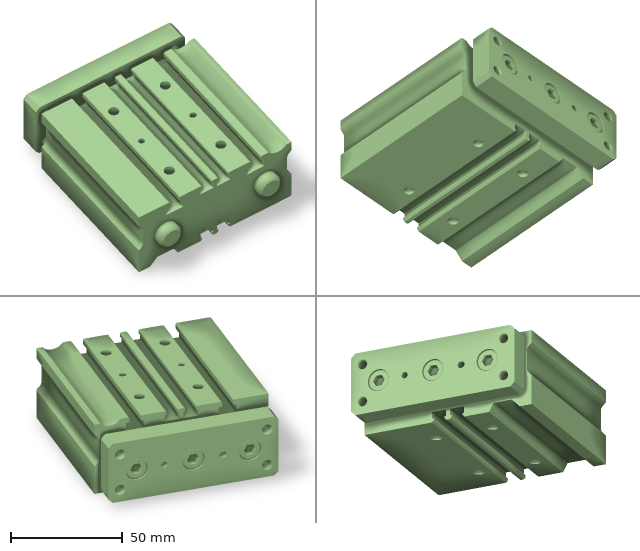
import cadquery as cq
import math

PLATE_THICKNESS = 10.0
HOUSING_START = 16.0
HOUSING_END = 93.0
OVERALL_LENGTH = 98.0

HOUSING_WIDTH = 83.0
HOUSING_HEIGHT = 36.0
HALF_WIDTH = HOUSING_WIDTH / 2
HALF_HEIGHT = HOUSING_HEIGHT / 2

OUTER_SLOT_Y = 22.0
OUTER_SLOT_OPENING = 5.5
OUTER_SLOT_INNER_WIDTH = 8.8
OUTER_SLOT_LIP = 2.7
OUTER_SLOT_DEPTH = 7.5
OUTER_SLOT_EDGE_CHAMFER = 0.4

INNER_SLOT_Y = 4.45
INNER_SLOT_OPENING = 5.4
INNER_SLOT_INNER_WIDTH = 7.0
INNER_SLOT_LIP = 1.9
INNER_SLOT_DEPTH = 5.0
INNER_SLOT_TOP_CHAMFER = 0.4
INNER_SLOT_BOTTOM_CHAMFER = 0.9

GROOVE_TURN = 45.0

GROOVE_RADIUS = 5.5
GROOVE_FLOOR_Z = 15.35
GROOVE_FLOOR_OUTER_Y = 34.4
GROOVE_FLOOR_INNER_Y = 33.75
LEDGE_Z = 17.25

UNDER_GROOVE_INNER_Y = -20.3
UNDER_GROOVE_OUTER_Y = -35.5
UNDER_GROOVE_DEPTH = 4.0
UNDER_GROOVE_INNER_ANGLE = 60.0
UNDER_GROOVE_OUTER_ANGLE = 45.0

SIDE_GROOVE_TOP_Z = 12.05
SIDE_GROOVE_BOTTOM_Z = -3.9
SIDE_GROOVE_TOP_CHAMFER = 2.0
SIDE_GROOVE_BOTTOM_CHAMFER = 1.5
SIDE_GROOVE_RADIUS = 3.2

MOUNT_Y = 14.0
MOUNT_X_POSITIONS = (33.0, 77.0)
MOUNT_DIAMETER = 5.0
DOWEL_X = 55.0
DOWEL_DIAMETER = 3.0
DOWEL_DEPTH = 6.0
DOWEL_SLOT_LENGTH = 3.5

PLATE_WIDTH = 81.0
PLATE_HEIGHT = 30.0
PLATE_CHAMFER = 2.0
CORNER_HOLE_Y = 35.0
CORNER_HOLE_Z = 9.0
CORNER_HOLE_DIAMETER = 4.2
CORNER_HOLE_CHAMFER = 0.4

GUIDE_ROD_Y = 27.0
GUIDE_ROD_DIAMETER = 12.0
GUIDE_TIP_LENGTHS = (1.9, 0.8)
GUIDE_TIP_DROPS = (0.6, 0.8)
PISTON_ROD_DIAMETER = 10.0
PISTON_ROD_END = 60.0
HEAD_DIAMETER = 10.5
HEAD_CHAMFER = 0.5
HEAD_RECESS = 0.5
HEAD_HEIGHT = 6.0
HEAD_SEAT_X = HEAD_RECESS + HEAD_HEIGHT
NECK_DIAMETER = 6.0
HEX_ACROSS_FLATS = 5.0
HEX_DEPTH = 3.0

COLLAR_DIAMETER = 21.0
COLLAR_LENGTH = 8.0


def along_x(start, end, radius, y):
    """Cylinder parallel to X at height zero."""
    return cq.Workplane("YZ", origin=(start, y, 0)).circle(radius).extrude(end - start)


def prism(profile, start, end):
    """Closed (Y, Z) polyline swept along X."""
    return cq.Workplane("YZ", origin=(start, 0, 0)).polyline(profile).close().extrude(end - start)


def housing_prism(profile):
    return prism(profile, HOUSING_START, HOUSING_END)


def t_slot(y, side, opening, inner_width, lip, depth, chamfer):
    """Cutter for a T-slot in the top (side = 1) or the underside (side = -1)."""
    right_half = [
        (opening / 2 + chamfer, 0),
        (opening / 2, chamfer),
        (opening / 2, lip),
        (inner_width / 2, lip),
        (inner_width / 2, depth),
    ]
    left_half = [(-across, down) for across, down in reversed(right_half)]
    outline = [(y + across, side * (HALF_HEIGHT - down)) for across, down in right_half + left_half]
    return housing_prism(outline)


def top_groove():
    """Cutter for the ledge and the round-bottomed groove beside it."""
    turn = math.radians(GROOVE_TURN)
    mid_run = GROOVE_RADIUS * math.sin(turn / 2)
    mid_z = GROOVE_FLOOR_Z + GROOVE_RADIUS * (1 - math.cos(turn / 2))
    slope_run = GROOVE_RADIUS * math.sin(turn)
    slope_z = GROOVE_FLOOR_Z + GROOVE_RADIUS * (1 - math.cos(turn))
    outer_edge_y = GROOVE_FLOOR_OUTER_Y + slope_run + (LEDGE_Z - slope_z)
    inner_edge_y = GROOVE_FLOOR_INNER_Y - slope_run - (HALF_HEIGHT - slope_z)
    return (
        cq.Workplane("YZ", origin=(HOUSING_START, 0, 0))
        .moveTo(HALF_WIDTH, HALF_HEIGHT)
        .lineTo(HALF_WIDTH, LEDGE_Z)
        .lineTo(outer_edge_y, LEDGE_Z)
        .lineTo(GROOVE_FLOOR_OUTER_Y + slope_run, slope_z)
        .threePointArc((GROOVE_FLOOR_OUTER_Y + mid_run, mid_z), (GROOVE_FLOOR_OUTER_Y, GROOVE_FLOOR_Z))
        .lineTo(GROOVE_FLOOR_INNER_Y, GROOVE_FLOOR_Z)
        .threePointArc((GROOVE_FLOOR_INNER_Y - mid_run, mid_z), (GROOVE_FLOOR_INNER_Y - slope_run, slope_z))
        .lineTo(inner_edge_y, HALF_HEIGHT)
        .close()
        .extrude(HOUSING_END - HOUSING_START)
    )


def under_groove():
    """Cutter for the groove with sloped walls in the underside."""
    inner_run = UNDER_GROOVE_DEPTH / math.tan(math.radians(UNDER_GROOVE_INNER_ANGLE))
    outer_run = UNDER_GROOVE_DEPTH / math.tan(math.radians(UNDER_GROOVE_OUTER_ANGLE))
    floor_z = UNDER_GROOVE_DEPTH - HALF_HEIGHT
    return housing_prism([
        (UNDER_GROOVE_INNER_Y, -HALF_HEIGHT),
        (UNDER_GROOVE_INNER_Y - inner_run, floor_z),
        (UNDER_GROOVE_OUTER_Y + outer_run, floor_z),
        (UNDER_GROOVE_OUTER_Y, -HALF_HEIGHT),
    ])


def side_groove():
    """Cutter for the groove in the +Y side: chamfered mouth, rounded into a flat floor."""
    turn = math.radians(GROOVE_TURN)
    radius = SIDE_GROOVE_RADIUS
    lower_y = HALF_WIDTH - SIDE_GROOVE_BOTTOM_CHAMFER
    lower_z = SIDE_GROOVE_BOTTOM_Z + SIDE_GROOVE_BOTTOM_CHAMFER
    floor_y = lower_y - radius * (1 - math.cos(turn))
    floor_start_z = lower_z + radius * math.sin(turn)
    lower_mid = (
        floor_y + radius * (1 - math.cos(turn / 2)),
        floor_start_z - radius * math.sin(turn / 2),
    )
    upper_y = HALF_WIDTH - SIDE_GROOVE_TOP_CHAMFER
    upper_z = SIDE_GROOVE_TOP_Z - SIDE_GROOVE_TOP_CHAMFER
    upper_turn = math.acos(1 - (upper_y - floor_y) / radius)
    floor_end_z = upper_z - radius * math.sin(upper_turn)
    upper_mid = (
        floor_y + radius * (1 - math.cos(upper_turn / 2)),
        floor_end_z + radius * math.sin(upper_turn / 2),
    )
    return (
        cq.Workplane("YZ", origin=(HOUSING_START, 0, 0))
        .moveTo(HALF_WIDTH, SIDE_GROOVE_BOTTOM_Z)
        .lineTo(lower_y, lower_z)
        .threePointArc(lower_mid, (floor_y, floor_start_z))
        .lineTo(floor_y, floor_end_z)
        .threePointArc(upper_mid, (upper_y, upper_z))
        .lineTo(HALF_WIDTH, SIDE_GROOVE_TOP_Z)
        .close()
        .extrude(HOUSING_END - HOUSING_START)
    )


def make_housing():
    body = cq.Workplane("XY").box(
        HOUSING_END - HOUSING_START, HOUSING_WIDTH, HOUSING_HEIGHT, centered=(False, True, True)
    ).translate((HOUSING_START, 0, 0))
    body = body.cut(top_groove()).cut(under_groove())
    body = body.cut(side_groove()).cut(side_groove().mirror("XZ"))
    for hand in (-1, 1):
        body = body.cut(t_slot(
            hand * OUTER_SLOT_Y, 1, OUTER_SLOT_OPENING, OUTER_SLOT_INNER_WIDTH,
            OUTER_SLOT_LIP, OUTER_SLOT_DEPTH, OUTER_SLOT_EDGE_CHAMFER,
        ))
        for side, chamfer in ((1, INNER_SLOT_TOP_CHAMFER), (-1, INNER_SLOT_BOTTOM_CHAMFER)):
            body = body.cut(t_slot(
                hand * INNER_SLOT_Y, side, INNER_SLOT_OPENING, INNER_SLOT_INNER_WIDTH,
                INNER_SLOT_LIP, INNER_SLOT_DEPTH, chamfer,
            ))

    top = cq.Workplane("XY", origin=(0, 0, HALF_HEIGHT))
    mounts = [(x, y) for x in MOUNT_X_POSITIONS for y in (-MOUNT_Y, MOUNT_Y)]
    body = body.cut(top.pushPoints(mounts).circle(MOUNT_DIAMETER / 2).extrude(-HOUSING_HEIGHT))
    body = body.cut(top.center(DOWEL_X, -MOUNT_Y).circle(DOWEL_DIAMETER / 2).extrude(-DOWEL_DEPTH))
    body = body.cut(
        top.center(DOWEL_X, MOUNT_Y).slot2D(DOWEL_SLOT_LENGTH, DOWEL_DIAMETER, 90).extrude(-DOWEL_DEPTH)
    )

    for y in (-GUIDE_ROD_Y, GUIDE_ROD_Y):
        body = body.cut(along_x(HOUSING_START, HOUSING_END, GUIDE_ROD_DIAMETER / 2, y))
    body = body.cut(along_x(HOUSING_START, PISTON_ROD_END, PISTON_ROD_DIAMETER / 2, 0))
    return body.cut(along_x(HOUSING_START, HOUSING_START + COLLAR_LENGTH, COLLAR_DIAMETER / 2, 0))


def make_plate():
    plate = (
        cq.Workplane("YZ").rect(PLATE_WIDTH, PLATE_HEIGHT).extrude(PLATE_THICKNESS)
        .edges("|X").chamfer(PLATE_CHAMFER)
    )
    for y in (-GUIDE_ROD_Y, 0, GUIDE_ROD_Y):
        plate = plate.cut(along_x(0, HEAD_SEAT_X, HEAD_DIAMETER / 2, y))
        plate = plate.cut(along_x(0, PLATE_THICKNESS, NECK_DIAMETER / 2, y))

    corner_centres = [
        (y, z) for y in (-CORNER_HOLE_Y, CORNER_HOLE_Y) for z in (-CORNER_HOLE_Z, CORNER_HOLE_Z)
    ]
    radius = CORNER_HOLE_DIAMETER / 2
    for y, z in corner_centres:
        hole = cq.Workplane("YZ", origin=(0, y, z)).circle(radius).extrude(PLATE_THICKNESS)
        countersink = (
            cq.Workplane("YZ", origin=(0, y, z)).circle(radius + CORNER_HOLE_CHAMFER)
            .extrude(CORNER_HOLE_CHAMFER, taper=45)
        )
        plate = plate.cut(hole).cut(countersink)

    front = cq.Workplane("YZ")
    plate = plate.cut(front.center(MOUNT_Y, 0).circle(DOWEL_DIAMETER / 2).extrude(DOWEL_DEPTH))
    return plate.cut(
        front.center(-MOUNT_Y, 0).slot2D(DOWEL_SLOT_LENGTH, DOWEL_DIAMETER).extrude(DOWEL_DEPTH)
    )


def make_fixing(y):
    """Socket head and neck that clamp the plate to the end of a rod."""
    head = along_x(HEAD_RECESS, HEAD_SEAT_X, HEAD_DIAMETER / 2, y)
    head = head.faces("<X").edges().chamfer(HEAD_CHAMFER)
    neck = along_x(HEAD_SEAT_X, PLATE_THICKNESS, NECK_DIAMETER / 2, y)
    hex_corner_diameter = HEX_ACROSS_FLATS / math.cos(math.pi / 6)
    socket = (
        cq.Workplane("YZ", origin=(HEAD_RECESS, y, 0))
        .polygon(6, hex_corner_diameter).extrude(HEX_DEPTH)
    )
    return head.cut(socket).union(neck)


def make_guide_rod(y):
    """Guide rod with a two-step tapered tip."""
    radius = GUIDE_ROD_DIAMETER / 2
    long_taper, short_taper = GUIDE_TIP_LENGTHS
    first_drop, second_drop = GUIDE_TIP_DROPS
    half_section = [
        (PLATE_THICKNESS, 0),
        (PLATE_THICKNESS, radius),
        (OVERALL_LENGTH - long_taper, radius),
        (OVERALL_LENGTH - short_taper, radius - first_drop),
        (OVERALL_LENGTH, radius - first_drop - second_drop),
        (OVERALL_LENGTH, 0),
    ]
    rod = cq.Workplane("XZ").polyline(half_section).close().revolve(360, (0, 0, 0), (1, 0, 0))
    return rod.translate((0, y, 0)).union(make_fixing(y))


def make_piston_rod():
    rod = along_x(PLATE_THICKNESS, PISTON_ROD_END, PISTON_ROD_DIAMETER / 2, 0)
    return rod.union(make_fixing(0))


def make_collar():
    collar = along_x(HOUSING_START, HOUSING_START + COLLAR_LENGTH, COLLAR_DIAMETER / 2, 0)
    return collar.cut(along_x(HOUSING_START, PISTON_ROD_END, PISTON_ROD_DIAMETER / 2, 0))


housing = make_housing()
plate = make_plate()
guide_rods = [make_guide_rod(y) for y in (-GUIDE_ROD_Y, GUIDE_ROD_Y)]
piston_rod = make_piston_rod()
collar = make_collar()

result = cq.Compound.makeCompound([
    housing.val(),
    plate.val(),
    *[rod.val() for rod in guide_rods],
    piston_rod.val(),
    collar.val(),
])